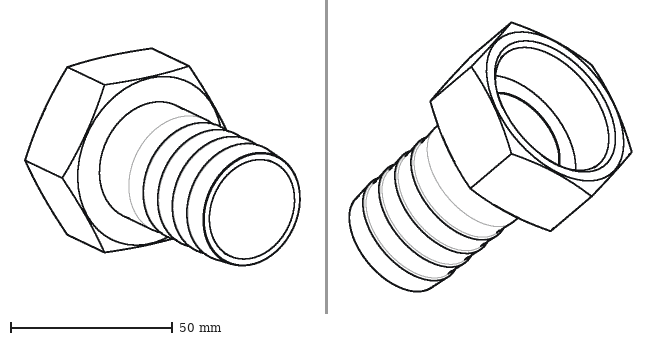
import cadquery as cq
import math

total_length = 80.0

nut_length = 24.0
across_flats = 55.0
across_corners = across_flats / math.cos(math.radians(30))
face_diameter = 54.3
corner_chamfer_length = 1.75
nut_bore_diameter = 44.85
bore_mouth_diameter = 47.8
bore_chamfer = (bore_mouth_diameter - nut_bore_diameter) / 2
nut_wall = 3.0

tail_diameter = 38.0
tail_bore_diameter = 32.0
bore_edge_chamfer = 0.2
flange_length = 3.0
barb_count = 5
barb_pitch = 8.0
barb_depth = 0.8
barb_root_fillet = 0.5
tip_chamfer = 0.2
flange_end = nut_length - nut_wall
flange_start = flange_end - flange_length
barb_start = total_length - barb_count * barb_pitch

X_AXIS = ((0, 0, 0), (1, 0, 0))


def revolve_about_x(profile):
    """Close an (X, radius) half profile and spin it around the X axis."""
    return profile.close().revolve(360, *X_AXIS)


def make_nut():
    """Hexagon with chamfered corners, stepped bore and chamfered mouth."""
    face_radius = face_diameter / 2
    corner_radius = across_corners / 2
    hexagon = cq.Workplane("YZ").polygon(6, across_corners).extrude(nut_length)
    chamfer_envelope = revolve_about_x(
        cq.Workplane("XZ")
        .lineTo(0, face_radius)
        .lineTo(corner_chamfer_length, corner_radius)
        .lineTo(nut_length - corner_chamfer_length, corner_radius)
        .lineTo(nut_length, face_radius)
        .lineTo(nut_length, 0)
    )
    bore = revolve_about_x(
        cq.Workplane("XZ")
        .lineTo(0, bore_mouth_diameter / 2)
        .lineTo(bore_chamfer, nut_bore_diameter / 2)
        .lineTo(flange_end, nut_bore_diameter / 2)
        .lineTo(flange_end, tail_diameter / 2)
        .lineTo(nut_length, tail_diameter / 2)
        .lineTo(nut_length, 0)
    )
    return hexagon.intersect(chamfer_envelope).cut(bore)


def make_hose_tail():
    """Tube with a retaining flange inside the nut and a row of barbs."""
    crest_radius = tail_diameter / 2
    root_radius = crest_radius - barb_depth
    bore_radius = tail_bore_diameter / 2
    profile = (
        cq.Workplane("XZ")
        .moveTo(flange_start + bore_edge_chamfer, bore_radius)
        .lineTo(flange_start, bore_radius + bore_edge_chamfer)
        .lineTo(flange_start, nut_bore_diameter / 2)
        .lineTo(flange_end, nut_bore_diameter / 2)
        .lineTo(flange_end, crest_radius)
    )
    arc_offset = barb_root_fillet * math.sin(math.radians(45))
    for barb in range(barb_count - 1):
        crest_x = barb_start + barb * barb_pitch
        next_crest_x = crest_x + barb_pitch
        fillet_x = next_crest_x - barb_root_fillet
        fillet_radius = root_radius + barb_root_fillet
        profile = (
            profile.lineTo(crest_x, crest_radius)
            .lineTo(fillet_x, root_radius)
            .threePointArc(
                (fillet_x + arc_offset, fillet_radius - arc_offset),
                (next_crest_x, fillet_radius),
            )
        )
    profile = (
        profile.lineTo(total_length - barb_pitch, crest_radius)
        .lineTo(total_length - tip_chamfer, root_radius)
        .lineTo(total_length, root_radius - tip_chamfer)
        .lineTo(total_length, bore_radius)
    )
    return revolve_about_x(profile)


nut = make_nut()
hose_tail = make_hose_tail()

result = cq.Compound.makeCompound([nut.val(), hose_tail.val()])